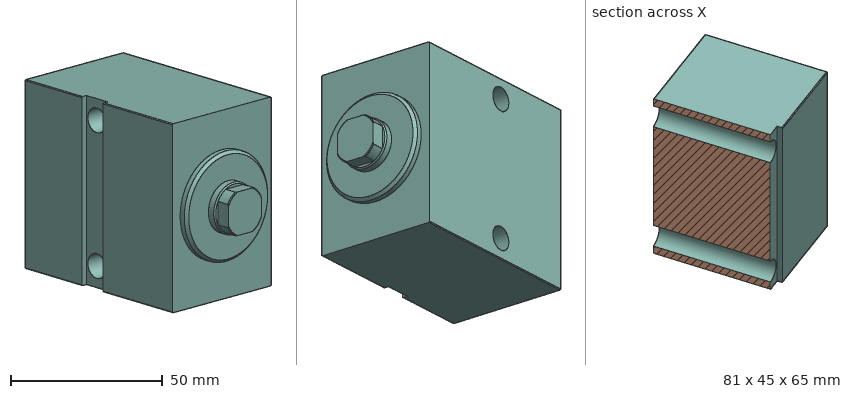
import cadquery as cq

total_length = 81.0

block_length = 70.1
block_width = 45.0
block_height = 65.0
block_edge_chamfer = 0.3

groove_width = 10.0
groove_depth = 2.0
groove_center_x = 32.0

bolt_hole_diameter = 8.5
bolt_hole_spacing = 50.05
bolt_hole_x = 32.0

gland_diameter = 38.0
gland_thickness = 3.0
gland_chamfer = 1.05

rod_diameter = 18.0
rod_protrusion = 3.0
rod_chamfer = 0.5

tip_diameter = 17.0
tip_across_flats = 15.0
tip_chamfer = 0.3

gland_front_x = block_length + gland_thickness
rod_shoulder_x = gland_front_x + rod_protrusion
tip_length = total_length - rod_shoulder_x


def cylinder_along_x(start_x, length, diameter):
    """Cylinder on the X axis, running from start_x toward +X."""
    return cq.Workplane("YZ", origin=(start_x, 0, 0)).circle(diameter / 2).extrude(length)


def make_block():
    """Cylinder block with a cross groove in its -Y face and two bolt holes through it."""
    body = (
        cq.Workplane("XY")
        .box(block_length, block_width, block_height)
        .translate((block_length / 2, 0, 0))
        .edges("|X")
        .chamfer(block_edge_chamfer)
    )

    groove = (
        cq.Workplane("XY")
        .box(groove_width, 2 * groove_depth, block_height)
        .translate((groove_center_x, -block_width / 2, 0))
    )

    bolt_holes = (
        cq.Workplane("XZ")
        .pushPoints([(bolt_hole_x, side * bolt_hole_spacing / 2) for side in (-1, 1)])
        .circle(bolt_hole_diameter / 2)
        .extrude(block_width / 2, both=True)
    )
    return body.cut(groove).cut(bolt_holes)


def make_gland():
    """Chamfered ring on the front face of the block, guiding the rod."""
    disc = cylinder_along_x(block_length, gland_thickness, gland_diameter)
    rod_hole = cylinder_along_x(block_length, gland_thickness, rod_diameter)
    return disc.faces(">X").edges().chamfer(gland_chamfer).cut(rod_hole)


def make_rod():
    """Piston rod through the gland, ending in a round tip with four wrench flats."""
    shaft = cylinder_along_x(block_length, rod_shoulder_x - block_length, rod_diameter)
    shaft = shaft.faces(">X").edges().chamfer(rod_chamfer)

    tip = cylinder_along_x(rod_shoulder_x, tip_length, tip_diameter)
    tip = tip.faces(">X").edges().chamfer(tip_chamfer)
    flats = (
        cq.Workplane("YZ", origin=(rod_shoulder_x, 0, 0))
        .rect(tip_across_flats, tip_across_flats)
        .extrude(tip_length)
    )
    return shaft.union(tip.intersect(flats))


block = make_block()
gland = make_gland()
rod = make_rod()

result = cq.Compound.makeCompound([block.val(), gland.val(), rod.val()])